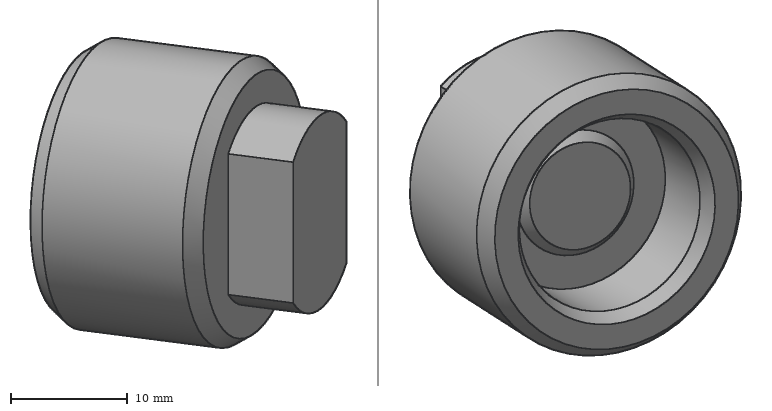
import cadquery as cq


body_diameter = 25.2
body_length = 16.0
body_chamfer_length = 1.5
body_chamfer_depth = 1.0

bore_diameter = 17.2
bore_depth = 8.1
bore_mouth_diameter = 18.75
bore_mouth_length = 1.35

boss_base_diameter = 11.2
boss_top_diameter = 9.6
boss_height = 1.0

hub_diameter = 17.45
hub_length = 6.0
hub_across_flats = 12.0


def revolve_about_x(profile_points):
    """Revolve a closed (x, radius) profile a full turn about the X axis."""
    profile = cq.Workplane("XZ").polyline(profile_points).close()
    return profile.revolve(360, (0, 0, 0), (1, 0, 0))


def make_body():
    """Cylinder with an equal chamfer at both ends."""
    radius = body_diameter / 2
    end_radius = radius - body_chamfer_depth
    return revolve_about_x([
        (0, 0),
        (0, end_radius),
        (body_chamfer_length, radius),
        (body_length - body_chamfer_length, radius),
        (body_length, end_radius),
        (body_length, 0),
    ])


def make_bore():
    """Cavity with a flared mouth, leaving the tapered boss on its floor."""
    return revolve_about_x([
        (0, 0),
        (0, bore_mouth_diameter / 2),
        (bore_mouth_length, bore_diameter / 2),
        (bore_depth, bore_diameter / 2),
        (bore_depth, boss_base_diameter / 2),
        (bore_depth - boss_height, boss_top_diameter / 2),
        (bore_depth - boss_height, 0),
    ])


def make_hub():
    """Cylinder trimmed by two flats facing -Y and +Y."""
    hub_face = cq.Workplane("YZ", origin=(body_length, 0, 0))
    cylinder = hub_face.circle(hub_diameter / 2).extrude(hub_length)
    flats = hub_face.rect(hub_across_flats, hub_diameter).extrude(hub_length)
    return cylinder.intersect(flats)


result = make_body().cut(make_bore()).union(make_hub())